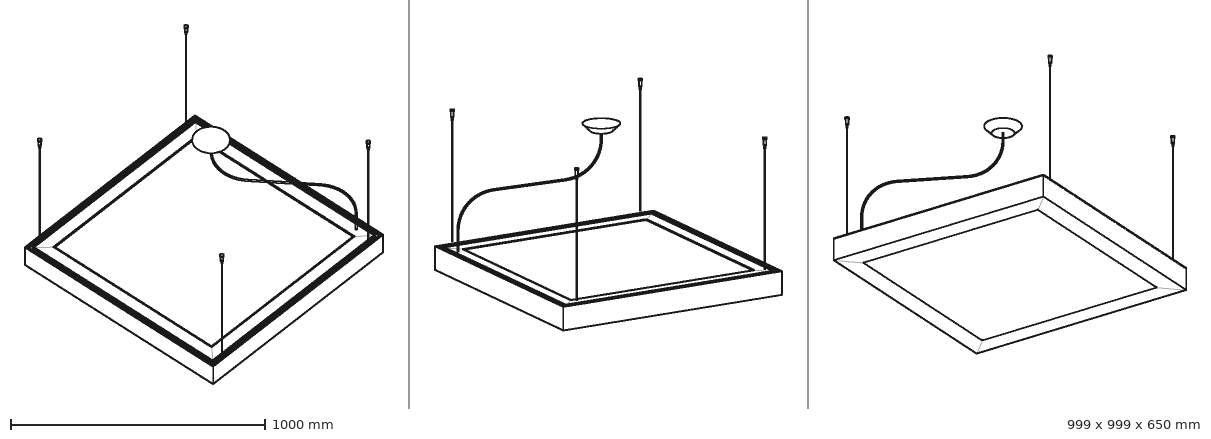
import math

import cadquery as cq

ceiling = 650.0
frame_height = 97.0

frame_side = 999.0
lip_width = 4.0
wall_width = 9.0
lip_step = 1.0
channel_width = 12.0
channel_depth = 8.0
rib_width = 4.0
flange_width = 55.0
flange_depth = 3.0
ledge_width = 4.0
ledge_step = 1.0

panel_depth = 6.0

canopy_x = 18.0
canopy_y = 22.0
canopy_radius = 75.0
canopy_bottom_radius = 45.0
canopy_height = 30.0

cable_diameter = 7.0
cable_end_x = 398.0
cable_end_y = 454.0
upper_corner_z = 440.0
lower_corner_z = 327.0
bend_radius = 180.0

hanger_x = 484.0
hanger_y = 430.0
cap_radius = 8.0
cap_height = 5.0
grip_radius = 6.0
grip_bottom = ceiling - 29.0
nipple_radius = 3.5
nipple_bottom = ceiling - 42.0
wire_radius = 1.5
wire_bottom = 111.0

rib_outset = wall_width + channel_width
flange_start = rib_outset + rib_width
ledge_start = flange_start + flange_width
frame_width = ledge_start + ledge_width
flange_z = frame_height - flange_depth
canopy_bottom = ceiling - canopy_height


def make_rail():
    """Rail along the -X side with a stepped profile and mitred ends."""
    top = frame_height
    profile = [
        (0, 0),
        (0, top),
        (lip_width, top),
        (lip_width, top - lip_step),
        (wall_width, top - lip_step),
        (wall_width, top - channel_depth),
        (rib_outset, top - channel_depth),
        (rib_outset, top),
        (flange_start, top),
        (flange_start, flange_z),
        (ledge_start, flange_z),
        (ledge_start, flange_z - ledge_step),
        (frame_width, flange_z - ledge_step),
        (frame_width, 0),
    ]
    half = frame_side / 2
    bar = cq.Workplane("XZ", origin=(-half, half, 0)).polyline(profile).close().extrude(frame_side)
    mitres = cq.Workplane("XY").polyline([(-half, -half), (0, 0), (-half, half)]).close().extrude(top)
    return bar.intersect(mitres)


def make_frame():
    """Four rails joined into one ring; the mitre edges at the corners are kept."""
    rail = make_rail()
    ring = rail
    for quarter in range(1, 4):
        ring = ring.union(rail.rotate((0, 0, 0), (0, 0, 1), 90 * quarter), clean=False)
    return ring


def make_panel():
    side = frame_side - 2 * frame_width
    return cq.Workplane("XY").rect(side, side).extrude(frame_height - panel_depth)


def make_turned(profile, x, y):
    """Solid turned about a vertical axis at (x, y) from a profile of (radius, height) points."""
    turned = cq.Workplane("XZ").polyline(profile).close().revolve(360, (0, 0), (0, 1))
    return turned.translate((x, y, 0))


def make_canopy():
    profile = [
        (0, canopy_bottom),
        (canopy_bottom_radius, canopy_bottom),
        (canopy_radius, ceiling),
        (0, ceiling),
    ]
    return make_turned(profile, canopy_x, canopy_y)


def make_cable():
    """Round cable in the vertical plane from the canopy's centre to its end on the flange."""
    run_x = cable_end_x - canopy_x
    run_y = cable_end_y - canopy_y
    run = math.hypot(run_x, run_y)
    slope = math.atan2(upper_corner_z - lower_corner_z, run)

    tangent = bend_radius * math.tan((math.pi / 2 - slope) / 2)
    tangent_run = tangent * math.cos(slope)
    tangent_drop = tangent * math.sin(slope)

    plane = cq.Plane(origin=(canopy_x, canopy_y, 0), xDir=(run_x, run_y, 0), normal=(run_y, -run_x, 0))
    path = (
        cq.Workplane(plane)
        .moveTo(0, canopy_bottom)
        .lineTo(0, upper_corner_z + tangent)
        .tangentArcPoint((tangent_run, upper_corner_z - tangent_drop), relative=False)
        .lineTo(run - tangent_run, lower_corner_z + tangent_drop)
        .tangentArcPoint((run, lower_corner_z - tangent), relative=False)
        .lineTo(run, flange_z)
    )
    start = (canopy_x, canopy_y, canopy_bottom)
    return cq.Workplane("XY", origin=start).circle(cable_diameter / 2).sweep(path)


def make_hanger(x, y):
    """Ceiling cap, cable grip and nipple with the suspension wire below them."""
    profile = [
        (0, wire_bottom),
        (wire_radius, wire_bottom),
        (wire_radius, nipple_bottom),
        (nipple_radius, nipple_bottom),
        (nipple_radius, grip_bottom),
        (grip_radius, grip_bottom),
        (grip_radius, ceiling - cap_height),
        (cap_radius, ceiling - cap_height),
        (cap_radius, ceiling),
        (0, ceiling),
    ]
    return make_turned(profile, x, y)


frame = make_frame()
panel = make_panel()
canopy = make_canopy()
cable = make_cable()
hangers = [make_hanger(x, y) for x in (-hanger_x, hanger_x) for y in (-hanger_y, hanger_y)]

result = cq.Compound.makeCompound(
    [frame.val(), panel.val(), canopy.val(), cable.val(), *[hanger.val() for hanger in hangers]]
)